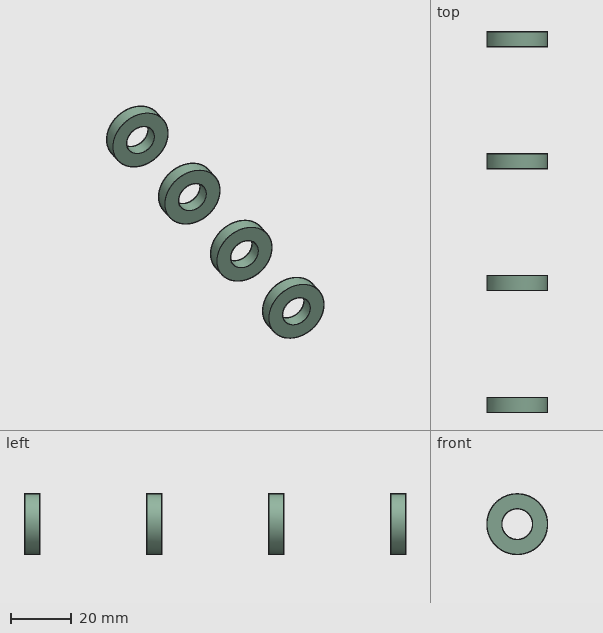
import cadquery as cq

washer_count = 4
outer_diameter = 20.0
bore_diameter = 10.0
thickness = 5.0
total_length = 125.0

pitch = (total_length - thickness) / (washer_count - 1)


def make_washer(front_y):
    """Flat ring on the Y axis, from front_y to front_y + thickness."""
    return (
        cq.Workplane("XZ", origin=(0, front_y, 0))
        .circle(outer_diameter / 2)
        .circle(bore_diameter / 2)
        .extrude(-thickness)
    )


washers = []
for index in range(washer_count):
    front_y = -total_length / 2 + index * pitch
    washers.append(make_washer(front_y).val())

result = cq.Compound.makeCompound(washers)